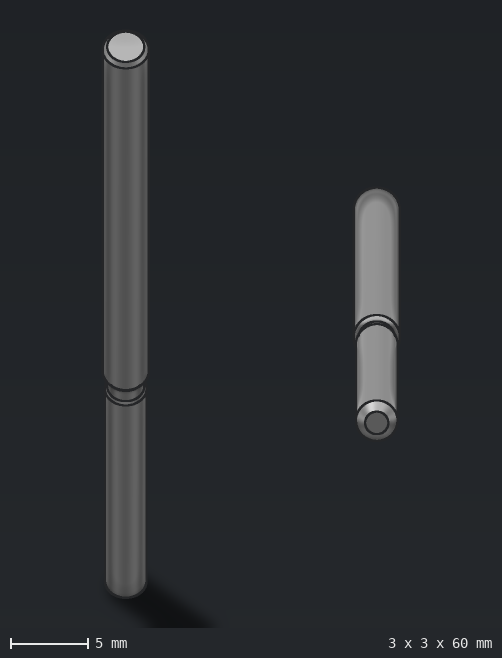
import cadquery as cq
import math

total_length = 60.0

neck_diameter = 2.4
neck_taper_angle = 30.0
joint_z = 23.4

shank_diameter = 3.0
shank_top_chamfer = 0.3

tip_diameter = 2.7
tip_top_z = 22.0
tip_end_chamfer = 0.6


def taper_height(diameter):
    """Height of a groove wall that leads from the neck out to a given diameter."""
    radial_step = (diameter - neck_diameter) / 2
    return radial_step / math.tan(math.radians(neck_taper_angle))


def turned(profile):
    """Revolve a (radius, z) outline, closed along the axis, around Z."""
    bottom_z = profile[0][1]
    top_z = profile[-1][1]
    outline = [(0, bottom_z), *profile, (0, top_z)]
    return cq.Workplane("XZ").polyline(outline).close().revolve(360, (0, 0), (0, 1))


def make_shank():
    """Cylinder with a chamfered top and a bottom tapering to the neck diameter."""
    radius = shank_diameter / 2
    return turned([
        (neck_diameter / 2, joint_z),
        (radius, joint_z + taper_height(shank_diameter)),
        (radius, total_length - shank_top_chamfer),
        (radius - shank_top_chamfer, total_length),
    ])


def make_tip():
    """Cylinder with a chamfered lower end and a slimmer neck on top."""
    radius = tip_diameter / 2
    neck_radius = neck_diameter / 2
    return turned([
        (radius - tip_end_chamfer, 0),
        (radius, tip_end_chamfer),
        (radius, tip_top_z),
        (neck_radius, tip_top_z + taper_height(tip_diameter)),
        (neck_radius, joint_z),
    ])


shank = make_shank()
tip = make_tip()

result = cq.Compound.makeCompound([shank.val(), tip.val()])